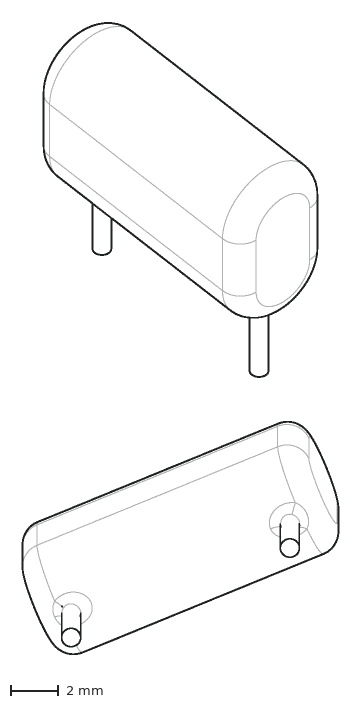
import cadquery as cq

body_length = 13.0
body_width = 5.0
body_height = 8.0
end_radius = 1.0

lead_diameter = 0.8
lead_pitch = 10.0
lead_length = 4.0
collar_radius = 0.5

body_mid_z = body_height / 2


def make_body():
    """Slot section in the YZ plane, extruded along X, with both end rims rounded."""
    bar = (
        cq.Workplane("YZ", origin=(-body_length / 2, 0, body_mid_z))
        .slot2D(body_height, body_width, 90)
        .extrude(body_length)
    )
    return bar.faces("<X or >X").edges().fillet(end_radius)


def make_leads():
    """Two wires reaching from the lead tips up into the middle of the body."""
    return (
        cq.Workplane("XY", origin=(0, 0, -lead_length))
        .pushPoints([(-lead_pitch / 2, 0), (lead_pitch / 2, 0)])
        .circle(lead_diameter / 2)
        .extrude(lead_length + body_mid_z)
    )


def lead_joint_box():
    """Region around the body underside that holds only the lead-to-body joints."""
    return cq.selectors.BoxSelector(
        (-body_length / 2, -lead_diameter, -lead_diameter / 2),
        (body_length / 2, lead_diameter, lead_diameter / 2),
    )


part = make_body().union(make_leads())
result = part.edges(lead_joint_box()).fillet(collar_radius)